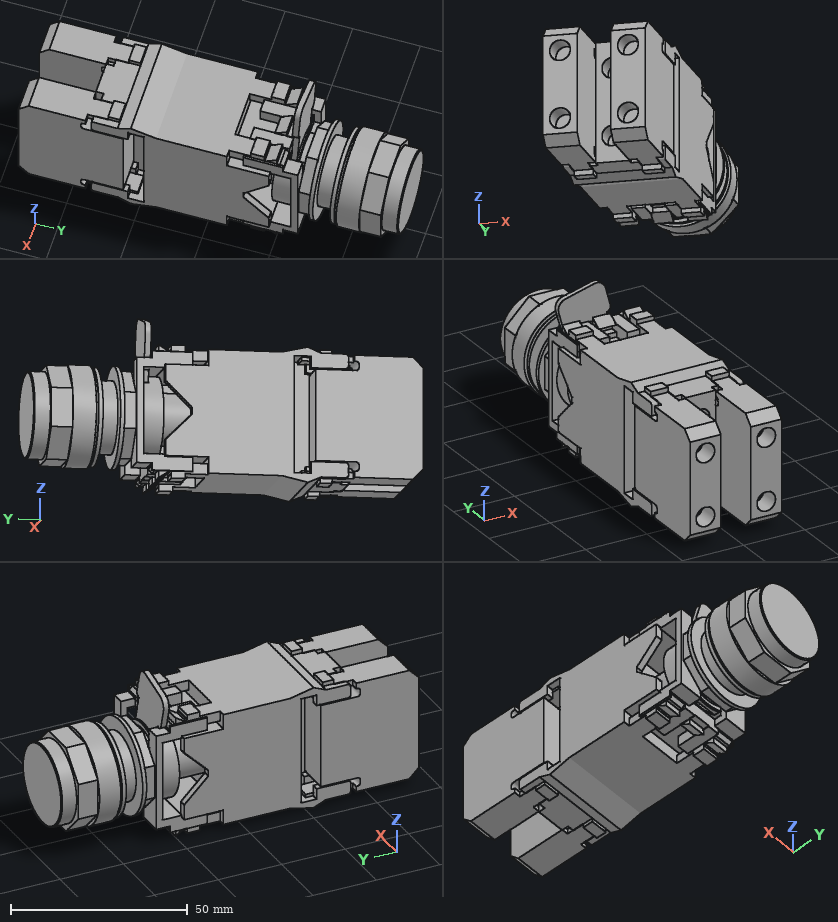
import cadquery as cq
import math


BUTTON_FACE_Y = 111.5
OCTAGON_FRONT_Y = 106.7
BEZEL_FRONT_Y = 100.6
BEZEL_BACK_Y = 93.9
GASKET_STEP_Y = 93.1
GASKET_BACK_Y = 91.9
WASHER_FRONT_Y = 87
NUT_FRONT_Y = 85.7
PLATE_FRONT_Y = 82.2
PLATE_BACK_Y = 80.1
LEVER_FRONT_Y = 79.5
LEVER_BACK_Y = 77.7
HOUSING_FRONT_Y = 74.0
ARM_END_Y = 66.0
HOUSING_STEP_Y = 61.7
RIDGE_FRONT_Y = 40.7
SOCKET_FRONT_Y = 37.1
RIDGE_PEAK_Y = 33.2
RIDGE_BACK_Y = 29.3
BLOCK_FRONT_Y = 31.0
CENTRE_WALL_END_Y = 19.8

BUTTON_RADIUS = 12.5
BUTTON_CHAMFER = 0.3
NECK_RADIUS = 10.5
DRUM_RADIUS = 12.0
DRUM_TOP_FLAT_Z = 9.0
DRUM_BOTTOM_FLAT_Z = -10.8
PLUNGER_RADIUS = 7.5
OCTAGON_SIDES = 8
BEZEL_RADIUS = 14.7
BEZEL_FLATS = 27.1
GASKET_FRONT_RADIUS = 13.6
GASKET_RADIUS = 14.2
WASHER_RADIUS = 14.7
NUT_FLATS = 25.2

WIDTH = 30.0
HALF_WIDTH = WIDTH / 2
CENTRE_HALF = 4.9
INNER_X = 7.1
OUTER_X = 12.8
ADAPTER_HALF = 13.5
BAR_INNER_X = 2.9
BAR_OUTER_X = 6.9

RIDGE_Z = 19.5
SNAP_Z = 19.2
HOUSING_Z = 17.8
BLOCK_Z = 17.6
ARM_Z = 17.2
SOCKET_Z = 16.8
FINGER_BOTTOM_Z = 15.8
PLATE_Z = 15.2
TONGUE_BOTTOM_Z = 14.7
CLIP_BOTTOM_Z = 13.5
STEP_Z = 13.2
WINDOW_Z = 12.5

HOOK_FRONT_Y = 75.7
HOOK_TIP_Y = 72.1
HOOK_SLOT_Y = 74.6
HOOK_ROOT_Z = 17.0
TONGUE_CHAMFER = 1.1
TAB_FRONT_Y = 72.0
TAB_BACK_Y = 68
CLIP_FRONT_Y = 32.3
SIDE_CLIP_END_Y = 21.5
CENTRE_CLIP_END_Y = 22.1
CLIP_FILLET = 0.9

NOTCH_HALF_Z = 8.4
NOTCH_TIP_Y = 66.5
NOTCH_TIP_HALF = 0.9

BLOCK_CHAMFER = 3.0
SLOT_END_Y = 18.5
SLOT_FILLET = 1.0
FINGER_TIP_Y = 34.7
FINGER_TAB_BACK_Y = 25.9
HOLE_RADIUS = 3.0
HOLE_DEPTH = 6.7
HOLE_Z = 10

LEVER_TILT = 15
HEAD_LEFT = -6.6
HEAD_RIGHT = 9.4
HEAD_TOP = 27.9
HEAD_BOTTOM = 17.2
HEAD_TOP_RADIUS = 3.1
HEAD_BOTTOM_RADIUS = 1.7
STEM_LEFT = -4.7
STEM_RIGHT = 7.8
LEVER_SLOT_HALF = 8.9
LOWER_SLOT_HALF = 5.4
SLOT_DEPTH_Z = 9.1


def box(x, y, z):
    """Box between the two limits given for each axis."""
    size = [abs(limits[1] - limits[0]) for limits in (x, y, z)]
    corner = tuple(min(limits) for limits in (x, y, z))
    return cq.Workplane("XY").box(*size, centered=False).translate(corner)


def side_prism(points, x):
    """Prism of a (Y, Z) outline between two X limits."""
    return cq.Workplane("YZ").workplane(offset=min(x)).polyline(points).close().extrude(abs(x[1] - x[0]))


def rod(radius, front_y, back_y):
    """Cylinder about the operator axis."""
    return cq.Workplane("XZ", origin=(0, front_y, 0)).circle(radius).extrude(front_y - back_y)


def octagon(flats, front_y, back_y):
    """Octagonal prism about the operator axis with flats facing X and Z."""
    corner_diameter = flats / math.cos(math.pi / OCTAGON_SIDES)
    face = cq.Workplane("XZ", origin=(0, front_y, 0))
    prism = face.polygon(OCTAGON_SIDES, corner_diameter).extrude(front_y - back_y)
    return prism.rotate((0, 0, 0), (0, 1, 0), 180 / OCTAGON_SIDES)


def both_sides(shape):
    """The shape with its mirror image across X = 0."""
    return shape.union(shape.mirror("YZ"))


def top_and_bottom(shape):
    """The shape with its mirror image across Z = 0."""
    return shape.union(shape.mirror("XY"))


def hook(x):
    """Triangular snap hook with its steep face toward the operator."""
    outline = [(HOOK_FRONT_Y, HOOK_ROOT_Z), (HOOK_FRONT_Y, SNAP_Z), (HOOK_TIP_Y, HOOK_ROOT_Z)]
    return side_prism(outline, x)


def terminal_holes(x, face_y):
    """Upper and lower blind screw holes in a rear face."""
    face = cq.Workplane("XZ", origin=(x, face_y, 0))
    return face.pushPoints([(0, HOLE_Z), (0, -HOLE_Z)]).circle(HOLE_RADIUS).extrude(-HOLE_DEPTH)


def make_operator():
    button = rod(BUTTON_RADIUS, BUTTON_FACE_Y, BEZEL_BACK_Y).faces(">Y").chamfer(BUTTON_CHAMFER)
    neck = rod(NECK_RADIUS, BEZEL_BACK_Y, PLATE_BACK_Y)
    drum = rod(DRUM_RADIUS, PLATE_BACK_Y, HOUSING_FRONT_Y)
    for flat_z, rim_z in ((DRUM_TOP_FLAT_Z, DRUM_RADIUS), (DRUM_BOTTOM_FLAT_Z, -DRUM_RADIUS)):
        drum = drum.cut(box((-DRUM_RADIUS, DRUM_RADIUS), (LEVER_BACK_Y, LEVER_FRONT_Y), (flat_z, rim_z)))
    plunger = rod(PLUNGER_RADIUS, HOUSING_FRONT_Y, HOUSING_STEP_Y)
    return button.union(neck).union(drum).union(plunger)


def make_bezel():
    bezel = octagon(BEZEL_FLATS, OCTAGON_FRONT_Y, BEZEL_FRONT_Y)
    bezel = bezel.union(rod(BEZEL_RADIUS, BEZEL_FRONT_Y, BEZEL_BACK_Y))
    return bezel.cut(rod(BUTTON_RADIUS, OCTAGON_FRONT_Y, BEZEL_BACK_Y))


def make_gasket():
    gasket = rod(GASKET_FRONT_RADIUS, BEZEL_BACK_Y, GASKET_STEP_Y)
    gasket = gasket.union(rod(GASKET_RADIUS, GASKET_STEP_Y, GASKET_BACK_Y))
    return gasket.cut(rod(NECK_RADIUS, BEZEL_BACK_Y, GASKET_BACK_Y))


def make_locknut():
    locknut = rod(WASHER_RADIUS, WASHER_FRONT_Y, NUT_FRONT_Y)
    locknut = locknut.union(octagon(NUT_FLATS, NUT_FRONT_Y, PLATE_FRONT_Y))
    return locknut.cut(rod(NECK_RADIUS, WASHER_FRONT_Y, PLATE_FRONT_Y))


def make_lever():
    thickness = (LEVER_BACK_Y, LEVER_FRONT_Y)
    head = box((HEAD_LEFT, HEAD_RIGHT), thickness, (HEAD_BOTTOM, HEAD_TOP))
    head = head.edges("|Y and >Z").fillet(HEAD_TOP_RADIUS).edges("|Y and <Z").fillet(HEAD_BOTTOM_RADIUS)
    stem = box((STEM_LEFT, STEM_RIGHT), thickness, (0, HEAD_BOTTOM))
    lever = head.union(stem).rotate((0, 0, 0), (0, 1, 0), -LEVER_TILT)

    below_foot = box((-WIDTH, WIDTH), thickness, (-WIDTH, DRUM_TOP_FLAT_Z))
    return lever.cut(below_foot)


def make_adapter():
    full_width = (-ADAPTER_HALF, ADAPTER_HALF)
    plate = box(full_width, (PLATE_BACK_Y, PLATE_FRONT_Y), (-PLATE_Z, PLATE_Z))

    wall = box(full_width, (LEVER_BACK_Y, PLATE_FRONT_Y), (WINDOW_Z, PLATE_Z))
    wall = wall.union(box(full_width, (HOUSING_FRONT_Y, LEVER_BACK_Y), (WINDOW_Z, TONGUE_BOTTOM_Z)))
    arms = box((BAR_INNER_X, BAR_OUTER_X), (ARM_END_Y, LEVER_BACK_Y), (STEP_Z, ARM_Z))
    arms = arms.union(box((OUTER_X, ADAPTER_HALF), (ARM_END_Y, LEVER_BACK_Y), (STEP_Z, ARM_Z)))
    centre_x = (-BAR_INNER_X, BAR_INNER_X)
    catch = box(centre_x, (HOOK_TIP_Y, LEVER_BACK_Y), (STEP_Z, TONGUE_BOTTOM_Z))
    catch = catch.union(box(centre_x, (HOOK_SLOT_Y, LEVER_BACK_Y), (TONGUE_BOTTOM_Z, HOOK_ROOT_Z)))
    catch = catch.union(hook(centre_x))
    adapter = plate.union(top_and_bottom(wall.union(both_sides(arms)).union(catch)))

    slot_y = (LEVER_BACK_Y, PLATE_FRONT_Y)
    upper_slot = box((-LEVER_SLOT_HALF, LEVER_SLOT_HALF), slot_y, (SLOT_DEPTH_Z, PLATE_Z))
    lower_slot = box((-LOWER_SLOT_HALF, LOWER_SLOT_HALF), slot_y, (-PLATE_Z, -SLOT_DEPTH_Z))
    bore = rod(NECK_RADIUS, PLATE_FRONT_Y, PLATE_BACK_Y)
    return adapter.cut(upper_slot).cut(lower_slot).cut(bore)


def front_tongues():
    """Upper pair of tongues, each with a release tab and a hook, that hold the adapter."""
    x = (INNER_X, OUTER_X)
    outline = [
        (HOUSING_STEP_Y, TONGUE_BOTTOM_Z),
        (LEVER_BACK_Y, TONGUE_BOTTOM_Z),
        (LEVER_BACK_Y, HOOK_ROOT_Z - TONGUE_CHAMFER),
        (LEVER_BACK_Y - TONGUE_CHAMFER, HOOK_ROOT_Z),
        (HOOK_TIP_Y, HOOK_ROOT_Z),
        (HOOK_TIP_Y, HOUSING_Z),
        (HOUSING_STEP_Y, HOUSING_Z),
    ]
    tab = box(x, (TAB_BACK_Y, TAB_FRONT_Y), (TONGUE_BOTTOM_Z, SNAP_Z))
    return both_sides(side_prism(outline, x).union(hook(x)).union(tab))


def rear_clips():
    """Upper clips beside the contact block fingers."""
    outer = box((OUTER_X, HALF_WIDTH), (SIDE_CLIP_END_Y, CLIP_FRONT_Y), (CLIP_BOTTOM_Z, HOUSING_Z))
    outer = outer.edges("|X and <Y").fillet(CLIP_FILLET)
    inner = box((CENTRE_HALF, INNER_X), (CENTRE_CLIP_END_Y, CLIP_FRONT_Y), (CLIP_BOTTOM_Z, HOUSING_Z))
    return both_sides(outer.union(inner))


def make_housing():
    full_width = (-HALF_WIDTH, HALF_WIDTH)
    half_outline = [
        (HOUSING_STEP_Y, 0),
        (HOUSING_STEP_Y, HOUSING_Z),
        (RIDGE_FRONT_Y, HOUSING_Z),
        (RIDGE_PEAK_Y, RIDGE_Z),
        (RIDGE_BACK_Y, HOUSING_Z),
        (RIDGE_BACK_Y, 0),
    ]
    housing = top_and_bottom(side_prism(half_outline, full_width))

    socket = box((CENTRE_HALF, HALF_WIDTH), (RIDGE_BACK_Y, SOCKET_FRONT_Y), (-SOCKET_Z, SOCKET_Z))
    housing = housing.cut(both_sides(socket))
    centre_wall = box((-CENTRE_HALF, CENTRE_HALF), (CENTRE_WALL_END_Y, RIDGE_BACK_Y), (-HOUSING_Z, HOUSING_Z))
    housing = housing.union(centre_wall).cut(terminal_holes(0, CENTRE_WALL_END_Y))
    housing = housing.union(top_and_bottom(rear_clips()))

    front = box(full_width, (HOUSING_STEP_Y, HOUSING_FRONT_Y), (-STEP_Z, STEP_Z))
    front = front.cut(box((-OUTER_X, OUTER_X), (HOUSING_STEP_Y, HOUSING_FRONT_Y), (-WINDOW_Z, WINDOW_Z)))
    notch = [
        (HOUSING_FRONT_Y, NOTCH_HALF_Z),
        (NOTCH_TIP_Y, NOTCH_TIP_HALF),
        (NOTCH_TIP_Y, -NOTCH_TIP_HALF),
        (HOUSING_FRONT_Y, -NOTCH_HALF_Z),
    ]
    front = front.cut(side_prism(notch, full_width))
    return housing.union(front).union(top_and_bottom(front_tongues()))


def make_contact_block(side):
    """Contact block at X > 0 for side = 1 and at X < 0 for side = -1."""
    x = (side * CENTRE_HALF, side * HALF_WIDTH)
    finger_x = (side * INNER_X, side * OUTER_X)
    block = box(x, (0, BLOCK_FRONT_Y), (-BLOCK_Z, BLOCK_Z)).edges("|X and <Y").chamfer(BLOCK_CHAMFER)

    slot = box(x, (SLOT_END_Y, BLOCK_FRONT_Y), (STEP_Z, FINGER_BOTTOM_Z))
    slot = slot.edges("|X and <Y").fillet(SLOT_FILLET)
    clip_space = box(x, (CENTRE_WALL_END_Y, BLOCK_FRONT_Y), (STEP_Z, BLOCK_Z))
    block = block.cut(top_and_bottom(slot.union(clip_space)))

    finger = box(finger_x, (CENTRE_WALL_END_Y, RIDGE_BACK_Y), (FINGER_BOTTOM_Z, BLOCK_Z))
    tip = box(finger_x, (RIDGE_BACK_Y, FINGER_TIP_Y), (FINGER_BOTTOM_Z, SOCKET_Z))
    tab = box(finger_x, (FINGER_TAB_BACK_Y, RIDGE_BACK_Y), (FINGER_BOTTOM_Z, SNAP_Z))
    block = block.union(top_and_bottom(finger.union(tip).union(tab)))
    return block.cut(terminal_holes(side * (CENTRE_HALF + HALF_WIDTH) / 2, 0))


operator = make_operator()
bezel = make_bezel()
gasket = make_gasket()
locknut = make_locknut()
lever = make_lever()
adapter = make_adapter()
housing = make_housing()
contact_blocks = [make_contact_block(side) for side in (-1, 1)]

bodies = [operator, bezel, gasket, locknut, lever, adapter, housing, *contact_blocks]
result = cq.Compound.makeCompound([body.solids().val() for body in bodies])